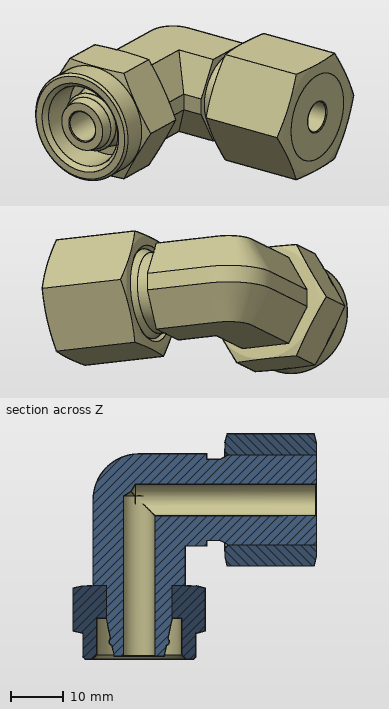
import cadquery as cq
import math


BODY_FLATS = 17.0
BODY_HALF_WIDTH = 8.85
STUD_SHOULDER = 13.0
BORE_RADIUS = 3.0
BORE_CHAMFER = 0.2
BORE_OVERRUN = 0.75
DRILL_TIP_ANGLE = 118

NECK_RADIUS = 7.85
NECK_END = 15.6
STUD_THREAD_RADIUS = 8.7
STUD_LEAD_ANGLE = 30

CONE_TIP = 30.0
CONE_TIP_RADIUS = 4.8
CONE_BASE_RADIUS = 6.35
CONE_HALF_ANGLE = 12
RING_SETBACK = 2.8
RING_WIRE_RADIUS = 0.75
RING_OUTER_RADIUS = 5.8

NUT_FLATS = 22.0
NUT_CHAMFER_RADIUS = NUT_FLATS / 2
NUT_CHAMFER_ANGLE = 15
STUD_NUT_START = 16.4
STUD_NUT_END = 34.0
STUD_NUT_MOUTH_RADIUS = 9.3
CONE_NUT_START = 16.45
CONE_NUT_HEX_END = 25.6
CONE_NUT_END = 30.6
SLEEVE_RADIUS = 10.9
SLEEVE_CHAMFER = 0.45
CONE_NUT_THREAD_RADIUS = 8.13
CONE_NUT_MOUTH_RADIUS = 9.0

CONE_BASE = CONE_TIP - (CONE_BASE_RADIUS - CONE_TIP_RADIUS) / math.tan(math.radians(CONE_HALF_ANGLE))


def corner_diameter(flats):
    return flats / math.cos(math.pi / 6)


def hex_bar(flats, start, end):
    """Hexagonal bar along X with two corners pointing along Y."""
    return (
        cq.Workplane("YZ", origin=(start, 0, 0))
        .polygon(6, corner_diameter(flats))
        .extrude(end - start)
    )


def turned(profile):
    """Solid of revolution about the X axis."""
    return cq.Workplane("XY").polyline(profile).close().revolve(360, (0, 0, 0), (1, 0, 0))


def onto_cone_leg(shape):
    return shape.rotate((0, 0, 0), (0, 0, 1), -90)


def chamfered_hex(start, end):
    """Nut hexagon with the corners turned down at both ends."""
    corner = corner_diameter(NUT_FLATS) / 2
    depth = (corner - NUT_CHAMFER_RADIUS) * math.tan(math.radians(NUT_CHAMFER_ANGLE))
    envelope = turned([
        (start, 0),
        (start, NUT_CHAMFER_RADIUS),
        (start + depth, corner),
        (end - depth, corner),
        (end, NUT_CHAMFER_RADIUS),
        (end, 0),
    ])
    return hex_bar(NUT_FLATS, start, end).intersect(envelope)


def body_leg(end):
    """Hexagonal leg whose two side corners are cut flat."""
    sides = cq.Workplane("XY").box(2 * end, 2 * BODY_HALF_WIDTH, BODY_FLATS)
    return hex_bar(BODY_FLATS, 0, end).intersect(sides)


def body_bend():
    """The leg's half section turned a full circle; it only shows at the outer corner."""
    top = BODY_FLATS / 2
    edge_radius = top * math.tan(math.pi / 6)
    side_height = (corner_diameter(BODY_FLATS) / 2 - BODY_HALF_WIDTH) * math.tan(math.pi / 3)
    return (
        cq.Workplane("XZ")
        .polyline([
            (0, -top),
            (edge_radius, -top),
            (BODY_HALF_WIDTH, -side_height),
            (BODY_HALF_WIDTH, side_height),
            (edge_radius, top),
            (0, top),
        ])
        .close()
        .revolve(360, (0, 0, 0), (0, 1, 0))
    )


def drilled_bore(end):
    """Bore from a leg's end to just past the bend axis, with a pointed tip and chamfered mouth."""
    tip = BORE_OVERRUN + BORE_RADIUS / math.tan(math.radians(DRILL_TIP_ANGLE / 2))
    return turned([
        (-tip, 0),
        (-BORE_OVERRUN, BORE_RADIUS),
        (end - BORE_CHAMFER, BORE_RADIUS),
        (end, BORE_RADIUS + BORE_CHAMFER),
        (end, 0),
    ])


def stud():
    """Neck and threaded stud, which fills the thread of its nut."""
    lead = (STUD_THREAD_RADIUS - NECK_RADIUS) / math.tan(math.radians(STUD_LEAD_ANGLE))
    return turned([
        (0, 0),
        (0, NECK_RADIUS),
        (NECK_END, NECK_RADIUS),
        (NECK_END + lead, STUD_THREAD_RADIUS),
        (STUD_NUT_END, STUD_THREAD_RADIUS),
        (STUD_NUT_END, 0),
    ])


def sealing_cone():
    """Round stem and tapered nose with a raised sealing ring."""
    cone = turned([
        (0, 0),
        (0, CONE_BASE_RADIUS),
        (CONE_BASE, CONE_BASE_RADIUS),
        (CONE_TIP, CONE_TIP_RADIUS),
        (CONE_TIP, 0),
    ])
    ring = cq.Solid.makeTorus(
        RING_OUTER_RADIUS - RING_WIRE_RADIUS,
        RING_WIRE_RADIUS,
        cq.Vector(CONE_TIP - RING_SETBACK, 0, 0),
        cq.Vector(1, 0, 0),
    )
    return cone.union(ring)


def make_elbow():
    legs = body_leg(STUD_SHOULDER).union(onto_cone_leg(body_leg(CONE_NUT_START)))
    solid = legs.union(body_bend()).union(stud()).union(onto_cone_leg(sealing_cone()))
    return solid.cut(drilled_bore(STUD_NUT_END)).cut(onto_cone_leg(drilled_bore(CONE_TIP)))


def make_stud_nut():
    mouth_depth = STUD_NUT_MOUTH_RADIUS - STUD_THREAD_RADIUS
    bore = turned([
        (STUD_NUT_START, 0),
        (STUD_NUT_START, STUD_NUT_MOUTH_RADIUS),
        (STUD_NUT_START + mouth_depth, STUD_THREAD_RADIUS),
        (STUD_NUT_END, STUD_THREAD_RADIUS),
        (STUD_NUT_END, 0),
    ])
    return chamfered_hex(STUD_NUT_START, STUD_NUT_END).cut(bore)


def make_cone_nut():
    sleeve = turned([
        (CONE_NUT_START, 0),
        (CONE_NUT_START, SLEEVE_RADIUS),
        (CONE_NUT_END - SLEEVE_CHAMFER, SLEEVE_RADIUS),
        (CONE_NUT_END, SLEEVE_RADIUS - SLEEVE_CHAMFER),
        (CONE_NUT_END, 0),
    ])
    mouth_depth = CONE_NUT_MOUTH_RADIUS - CONE_NUT_THREAD_RADIUS
    bore = turned([
        (CONE_NUT_START, 0),
        (CONE_NUT_START, CONE_BASE_RADIUS),
        (CONE_BASE, CONE_BASE_RADIUS),
        (CONE_BASE, CONE_NUT_THREAD_RADIUS),
        (CONE_NUT_END - mouth_depth, CONE_NUT_THREAD_RADIUS),
        (CONE_NUT_END, CONE_NUT_MOUTH_RADIUS),
        (CONE_NUT_END, 0),
    ])
    nut = chamfered_hex(CONE_NUT_START, CONE_NUT_HEX_END).union(sleeve).cut(bore)
    return onto_cone_leg(nut)


elbow = make_elbow()
stud_nut = make_stud_nut()
cone_nut = make_cone_nut()

result = cq.Compound.makeCompound([
    elbow.solids().val(),
    stud_nut.solids().val(),
    cone_nut.solids().val(),
])